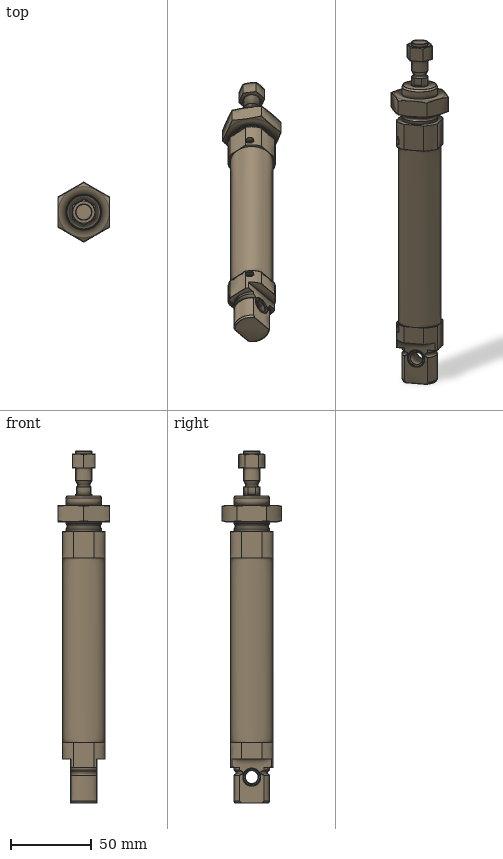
import cadquery as cq
import math

lug_chamfer_top = 1.3
pivot_z = 16.1
rear_groove_bottom = 18.3
rear_groove_top = 19.4
rear_cap_bottom = 22.2
lug_flat_top = 27.2
rear_cap_top = 37.7
front_cap_bottom = 151.5
front_cap_top = 167.8
front_groove_bottom = 170.7
front_groove_top = 171.8
mount_nut_bottom = 174.0
mount_nut_top = 184.2
nose_top = 190.0
rod_flat_bottom = 191.0
rod_shoulder = 195.5
neck_top = 197.0
thread_bottom = 199.5
rod_nut_bottom = 207.3
rod_nut_top = 216.0
rod_tip = 217.7

tube_diameter = 26.5
cap_diameter = 29.4
cap_flat_width = tube_diameter
thread_diameter = 22.0
groove_diameter = 20.5
rear_groove_diameter = 19.5
groove_cone_height = 1.0
groove_fillet = 0.5
nose_chamfer = 1.3
nose_tip_diameter = 20.7
lug_chamfer = 0.7
lug_width = 16.1
pivot_diameter = 8.0
pivot_rim_diameter = 11.0
pivot_rim_depth = 0.7
pivot_seat_diameter = 10.0
pivot_seat_depth = 0.2
port_diameter = 5.0
port_depth = 4.4
port_angle = 126.0
port_levels = (34.8, 155.7)

rod_diameter = 10.0
rod_flat_width = 9.0
rod_neck_diameter = 7.6
rod_neck_fillet = 0.7
rod_tip_diameter = 9.5

mount_nut_width = 32.0
mount_nut_face = 31.5
rod_nut_width = 14.2
rod_nut_face = 13.7
nut_chamfer_height = 0.7


def turned(points):
    """Solid of revolution about Z from (diameter, z) points that run from bottom to top."""
    outline = [(diameter / 2, z) for diameter, z in points]
    closed = [(0, points[0][1])] + outline + [(0, points[-1][1])]
    return cq.Workplane("XZ").polyline(closed).close().revolve(360, (0, 0), (0, 1))


def cylinder(diameter, bottom, top):
    return cq.Workplane("XY").workplane(offset=bottom).circle(diameter / 2).extrude(top - bottom)


def block(x_size, y_size, bottom, top):
    """Rectangular block centred on the axis."""
    return cq.Workplane("XY").workplane(offset=bottom).rect(x_size, y_size).extrude(top - bottom)


def end_cap(bottom, top):
    """Round cap with four flats."""
    flats = block(cap_flat_width, cap_flat_width, bottom, top)
    return cylinder(cap_diameter, bottom, top).intersect(flats)


def round_groove_floor(body, radius):
    """Fillet the two corners of the groove floor, which are the smallest circles of the body."""
    return body.edges(cq.selectors.RadiusNthSelector(0)).fillet(radius)


def lug():
    body = turned([
        (thread_diameter - 2 * lug_chamfer, 0),
        (thread_diameter, lug_chamfer_top),
        (thread_diameter, rear_groove_bottom - groove_cone_height),
        (rear_groove_diameter, rear_groove_bottom),
        (rear_groove_diameter, rear_groove_top),
        (thread_diameter, rear_groove_top + groove_cone_height),
        (thread_diameter, rear_cap_bottom),
    ])
    return round_groove_floor(body, groove_fillet)


def threaded_nose():
    body = turned([
        (thread_diameter, front_cap_top),
        (thread_diameter, front_groove_bottom - groove_cone_height),
        (groove_diameter, front_groove_bottom),
        (groove_diameter, front_groove_top),
        (thread_diameter, front_groove_top + groove_cone_height),
        (thread_diameter, nose_top - nose_chamfer),
        (nose_tip_diameter, nose_top),
    ])
    return round_groove_floor(body, groove_fillet)


def lug_flats_cut():
    """Material removed on both sides of the lug, reaching up into the rear cap."""
    outside = block(2 * cap_diameter, 2 * cap_diameter, 0, lug_flat_top)
    return outside.cut(block(lug_width, 2 * cap_diameter, 0, lug_flat_top))


def pivot_hole():
    """Cross hole along X with a two-stage chamfer at each mouth."""
    half = lug_width / 2
    rim = pivot_rim_depth
    seat = rim + pivot_seat_depth
    hole = turned([
        (pivot_rim_diameter, -half),
        (pivot_seat_diameter, rim - half),
        (pivot_diameter, seat - half),
        (pivot_diameter, half - seat),
        (pivot_seat_diameter, half - rim),
        (pivot_rim_diameter, half),
    ])
    return hole.rotate((0, 0, 0), (0, 1, 0), -90).translate((0, 0, pivot_z))


def port(z):
    """Blind radial air port."""
    direction = cq.Vector(math.cos(math.radians(port_angle)), math.sin(math.radians(port_angle)), 0)
    start = direction * (cap_diameter / 2 - port_depth) + cq.Vector(0, 0, z)
    return cq.Solid.makeCylinder(port_diameter / 2, cap_diameter, start, direction)


def make_housing():
    body = cylinder(tube_diameter, rear_cap_top, front_cap_bottom)
    body = body.union(end_cap(rear_cap_bottom, rear_cap_top)).union(end_cap(front_cap_bottom, front_cap_top))
    body = body.union(lug()).union(threaded_nose())
    body = body.cut(lug_flats_cut()).cut(pivot_hole())
    for z in port_levels:
        body = body.cut(port(z))
    return body.cut(cylinder(rod_diameter, front_cap_bottom, nose_top))


def make_rod():
    rod = turned([
        (rod_diameter, front_cap_bottom),
        (rod_diameter, rod_shoulder),
        (rod_neck_diameter, rod_shoulder),
        (rod_neck_diameter, neck_top),
        (rod_diameter, thread_bottom),
        (rod_diameter, rod_tip - (rod_diameter - rod_tip_diameter) / 2),
        (rod_tip_diameter, rod_tip),
    ])
    rod = round_groove_floor(rod, rod_neck_fillet)
    outside = block(2 * rod_diameter, 2 * rod_diameter, rod_flat_bottom, rod_shoulder)
    return rod.cut(outside.cut(block(rod_flat_width, 2 * rod_diameter, rod_flat_bottom, rod_shoulder)))


def make_nut(width, face_diameter, bore, bottom, top, chamfer_bottom):
    """Hexagon nut with corners on the Y axis; the corners are turned down to the face circle."""
    corner_diameter = 2 * width / math.sqrt(3)
    height = top - bottom
    hexagon = cq.Workplane("XY").polygon(6, corner_diameter).extrude(height)
    hexagon = hexagon.rotate((0, 0, 0), (0, 0, 1), 90).translate((0, 0, bottom))
    lower_face = [(corner_diameter, bottom)]
    if chamfer_bottom:
        lower_face = [(face_diameter, bottom), (corner_diameter, bottom + nut_chamfer_height)]
    envelope = turned(lower_face + [(corner_diameter, top - nut_chamfer_height), (face_diameter, top)])
    return hexagon.intersect(envelope).cut(cylinder(bore, bottom, top))


housing = make_housing()
rod = make_rod()
mount_nut = make_nut(
    mount_nut_width, mount_nut_face, thread_diameter, mount_nut_bottom, mount_nut_top, chamfer_bottom=True
)
rod_nut = make_nut(
    rod_nut_width, rod_nut_face, rod_diameter, rod_nut_bottom, rod_nut_top, chamfer_bottom=False
)

result = cq.Compound.makeCompound([housing.val(), rod.val(), mount_nut.val(), rod_nut.val()])